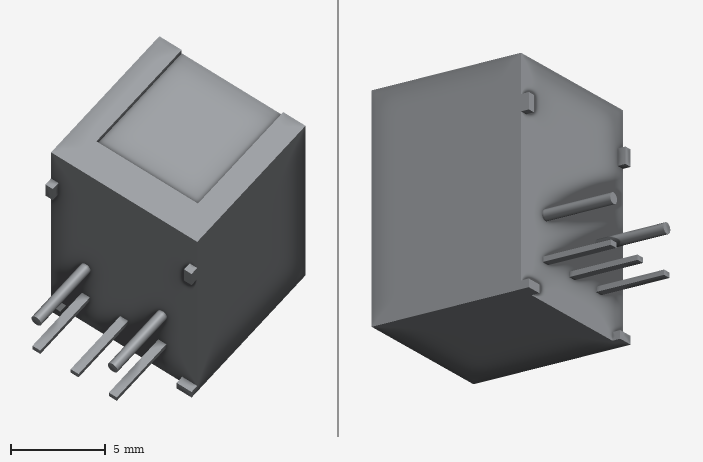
import cadquery as cq

width = 9.7
overall_depth = 13.85
height = 13.5
body_depth = 9.5
pin_length = overall_depth - body_depth

recess_width = 6.73
recess_length = 7.48
recess_depth = 0.3

tab_short = 0.5
tab_long = 2 * tab_short
upper_tab_drop = 2.35

pin_pitch = 2.53
round_pin_diameter = 0.65
round_pin_height = 5.0
flat_pin_width = 0.53
flat_pin_thickness = 0.3
flat_pin_height = 2.4


def front_block(x, z, size_x, size_z, length):
    """Block centred at (x, z), projecting forward from the front face."""
    return cq.Workplane("XZ").center(x, z).rect(size_x, size_z).extrude(length)


def round_pin(x):
    return (
        cq.Workplane("XZ")
        .center(x, round_pin_height)
        .circle(round_pin_diameter / 2)
        .extrude(pin_length)
    )


def make_housing():
    body = cq.Workplane("XY").box(width, body_depth, height, centered=(True, False, False))
    recess = (
        cq.Workplane("XY")
        .box(recess_width, recess_length, recess_depth, centered=(True, False, False))
        .translate((0, body_depth - recess_length, height - recess_depth))
    )
    return body.cut(recess)


result = make_housing()

for side in (-1, 1):
    upper_x = side * (width - tab_short) / 2
    upper_z = height - upper_tab_drop - tab_long / 2
    result = result.union(front_block(upper_x, upper_z, tab_short, tab_long, tab_short))
    lower_x = side * (width - tab_long) / 2
    result = result.union(front_block(lower_x, tab_short / 2, tab_long, tab_short, tab_short))

for side in (-1, 1):
    result = result.union(round_pin(side * pin_pitch))

for position in (-1, 0, 1):
    pin = front_block(
        position * pin_pitch, flat_pin_height, flat_pin_width, flat_pin_thickness, pin_length
    )
    result = result.union(pin)